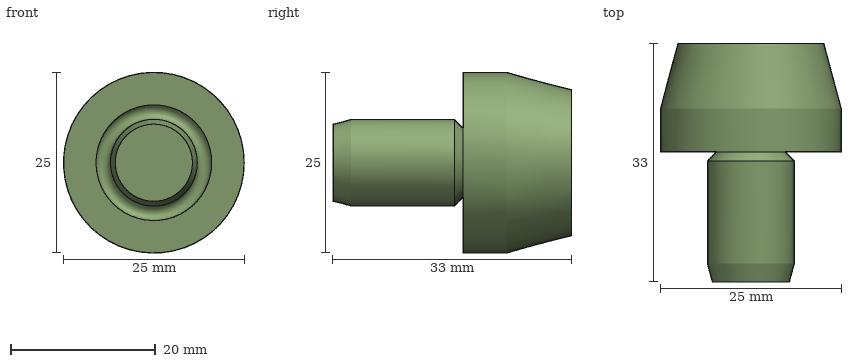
import cadquery as cq
import math

total_length = 33.0
head_diameter = 25.0
collar_length = 6.0
cone_length = 9.0
shank_diameter = 12.0
tip_length = 2.5
taper_angle = 15.0
neck_chamfer = 1.22
groove_diameter = 16.0

head_radius = head_diameter / 2
shank_radius = shank_diameter / 2
groove_rim_radius = groove_diameter / 2
neck_radius = shank_radius - neck_chamfer
taper = math.tan(math.radians(taper_angle))
cone_end_radius = head_radius - cone_length * taper
tip_radius = shank_radius - tip_length * taper

shank_length = total_length - collar_length - cone_length
head_length = collar_length + cone_length

groove_radius = (groove_rim_radius - shank_radius) / 2
groove_middle = (shank_radius + groove_radius, groove_radius)

half_profile = (
    cq.Workplane("XY")
    .moveTo(0, -shank_length)
    .lineTo(tip_radius, -shank_length)
    .lineTo(shank_radius, -shank_length + tip_length)
    .lineTo(shank_radius, -neck_chamfer)
    .lineTo(neck_radius, 0)
    .lineTo(shank_radius, 0)
    .threePointArc(groove_middle, (groove_rim_radius, 0))
    .lineTo(head_radius, 0)
    .lineTo(head_radius, collar_length)
    .lineTo(cone_end_radius, head_length)
    .lineTo(0, head_length)
    .close()
)

result = half_profile.revolve(360, (0, 0, 0), (0, 1, 0))